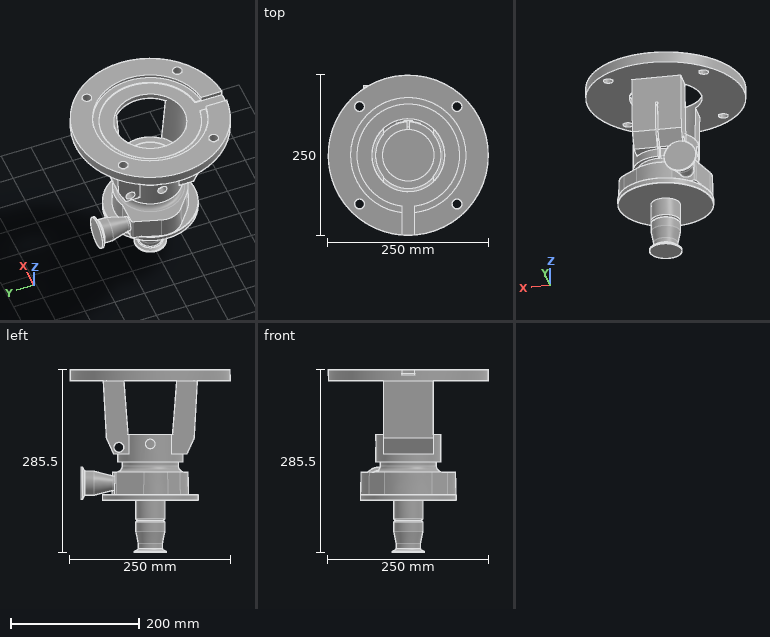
import cadquery as cq
import math

OVERLAP = 1.0

flange_radius = 125.0
flange_thickness = 17.5
seat_radius = 90.0
seat_depth = 6.0
recess_radius = 80.0
recess_depth = 8.0
drain_slot_width = 20.0
bolt_circle_radius = 107.5
bolt_hole_diameter = 15.0
bolt_count = 4
bolt_start_angle = 45.0

opening_top_radius = 57.0
opening_bottom_radius = 52.0

collar_radius = 51.0
collar_top = -101.0
collar_bottom = -144.2
plug_radius = 40.2
plug_recess = 1.0
side_hole_diameter = 15.0
side_hole_z = -115.8
split_width = 3.5
split_top = -60.0

leg_width = 78.0
leg_top_y = 73.6
leg_knee_y = 68.7
leg_knee_z = -106.7
leg_foot_y = 57.3
leg_foot_z = -131.5
clamp_hole_diameter = 15.0
clamp_hole_y = 49.0
clamp_hole_z = -121.0

neck_radius = 44.0
neck_fillet = 9.5
housing_top = -159.6
housing_bottom = -195.0
housing_radius = 59.0
lobe_radius = 34.5
lobe_offset = 39.3
housing_draft = 1.5
boss_face_y = 55.0
boss_side_angle = 17.0
boss_corner_radius = 3.0

plate_radius = 75.0
plate_bottom = -204.0
plate_chamfer = 0.6

stem_radius = 23.0
stem_groove_top = -233.0
stem_groove_bottom = -237.5
stem_groove_depth = 3.0
stem_cone_top = -252.0
stem_cone_bottom = -271.2
pipe_radius = 19.1
part_bottom = -285.5

ferrule_radius = 25.4
ferrule_rim = 2.2
ferrule_collar_length = 6.8
ferrule_bevel_length = 2.3
ferrule_neck_step = 1.0

outlet_x = -44.8
outlet_z = -177.0
outlet_end_y = 108.5
outlet_root_radius = 11.5
outlet_cone_start_y = 58.3
outlet_cone_end_y = 88.0
outlet_rim = 3.0


def cylinder(radius, z_top, z_bottom):
    """Solid cylinder about the main axis."""
    return cq.Workplane("XY", origin=(0, 0, z_bottom)).circle(radius).extrude(z_top - z_bottom)


def make_flange():
    flange = cylinder(flange_radius, 0, -flange_thickness)
    flange = flange.cut(cylinder(seat_radius, OVERLAP, -seat_depth))
    flange = flange.cut(cylinder(recess_radius, OVERLAP, -recess_depth))

    slot_start_y = -(opening_top_radius + recess_radius) / 2
    slot_length = flange_radius + OVERLAP + slot_start_y
    drain_slot = cq.Workplane("XY").box(
        drain_slot_width, slot_length, 2 * recess_depth
    ).translate((0, slot_start_y - slot_length / 2, 0))

    bolt_holes = (
        cq.Workplane("XY", origin=(0, 0, -flange_thickness - OVERLAP))
        .polarArray(bolt_circle_radius, bolt_start_angle, 360, bolt_count)
        .circle(bolt_hole_diameter / 2)
        .extrude(flange_thickness + 2 * OVERLAP)
    )
    return flange.cut(drain_slot).cut(bolt_holes)


def make_legs():
    """Two mirrored legs, still joined as one block between flange and collar."""
    leg = (
        cq.Workplane("YZ")
        .moveTo(0, -flange_thickness)
        .lineTo(leg_top_y, -flange_thickness)
        .lineTo(leg_knee_y, leg_knee_z)
        .lineTo(leg_foot_y, leg_foot_z)
        .lineTo(0, leg_foot_z)
        .close()
        .extrude(leg_width / 2, both=True)
    )
    legs = leg.union(leg.mirror("XZ"))
    return legs


def make_opening():
    """Cone through the flange and between the legs, ending at the collar top."""
    return (
        cq.Workplane("XZ")
        .moveTo(0, -recess_depth)
        .lineTo(opening_top_radius, -recess_depth)
        .lineTo(opening_bottom_radius, collar_top)
        .lineTo(0, collar_top)
        .close()
        .revolve(360, (0, 0, 0), (0, 1, 0))
    )


def cut_clamp_features(frame):
    """Cut the split, clamp bolt hole and side hole, then refill the collar bore with the plug."""
    split = cq.Workplane("XY").box(
        split_width, leg_top_y + OVERLAP, split_top - collar_bottom, centered=(True, False, False)
    ).translate((0, 0, collar_bottom))
    clamp_hole = (
        cq.Workplane("YZ")
        .center(clamp_hole_y, clamp_hole_z)
        .circle(clamp_hole_diameter / 2)
        .extrude(leg_width, both=True)
    )
    side_hole = (
        cq.Workplane("YZ")
        .center(0, side_hole_z)
        .circle(side_hole_diameter / 2)
        .extrude(-collar_radius - OVERLAP)
    )
    bore = cylinder(plug_radius, collar_top, collar_bottom)
    plug = cylinder(plug_radius, collar_top - plug_recess, collar_bottom)
    return frame.cut(split).cut(clamp_hole).cut(side_hole).cut(bore).union(plug)


def make_neck():
    """Neck that flares into the housing top with a concave fillet."""
    fillet_top = housing_top + neck_fillet
    flare_radius = neck_radius + neck_fillet
    arc_reach = neck_fillet * (1 - math.sqrt(0.5))
    return (
        cq.Workplane("XZ")
        .moveTo(0, collar_bottom)
        .lineTo(neck_radius, collar_bottom)
        .lineTo(neck_radius, fillet_top)
        .threePointArc(
            (neck_radius + arc_reach, housing_top + arc_reach), (flare_radius, housing_top)
        )
        .lineTo(flare_radius, housing_top - OVERLAP)
        .lineTo(0, housing_top - OVERLAP)
        .close()
        .revolve(360, (0, 0, 0), (0, 1, 0))
    )


def make_housing():
    """Drafted body: round centre, a tangent lobe on each side and the outlet boss at -X, +Y."""
    tangent_angle = math.acos((housing_radius - lobe_radius) / lobe_offset)
    boss_angle = math.pi - math.radians(boss_side_angle)

    def on_circle(center, radius, angle):
        return (center[0] + radius * math.cos(angle), center[1] + radius * math.sin(angle))

    def on_body(angle):
        return on_circle((0, 0), housing_radius, angle)

    def on_lobe(side, angle):
        return on_circle((side * lobe_offset, 0), lobe_radius, angle)

    left_tangent = tangent_angle - math.pi
    boss_end = on_body(math.pi - math.asin(boss_face_y / housing_radius))

    corner_y = boss_face_y - boss_corner_radius
    corner_offset = lobe_radius - boss_corner_radius
    lobe_to_corner = (corner_offset - corner_y * math.sin(boss_angle)) / math.cos(boss_angle)
    corner_center = (lobe_to_corner - lobe_offset, corner_y)
    corner_top, corner_middle, corner_side = (
        on_circle(corner_center, boss_corner_radius, angle)
        for angle in (math.pi / 2, (math.pi / 2 + boss_angle) / 2, boss_angle)
    )

    outline = (
        cq.Workplane("XY", origin=(0, 0, housing_top))
        .moveTo(*on_body(left_tangent))
        .threePointArc(on_body(-math.pi / 2), on_body(-tangent_angle))
        .lineTo(*on_lobe(1, -tangent_angle))
        .threePointArc(on_lobe(1, 0), on_lobe(1, tangent_angle))
        .lineTo(*on_body(tangent_angle))
        .threePointArc(on_body(math.pi / 2), boss_end)
        .lineTo(*corner_top)
        .threePointArc(corner_middle, corner_side)
        .lineTo(*on_lobe(-1, boss_angle))
        .threePointArc(on_lobe(-1, math.pi), on_lobe(-1, left_tangent))
        .close()
    )
    return outline.extrude(housing_bottom - housing_top, taper=-housing_draft)


def ferrule_profile(sketch, end, rim):
    """Continue a (radius, height) outline along the pipe to the ferrule face at `end`."""
    return (
        sketch.lineTo(pipe_radius, end + ferrule_collar_length)
        .lineTo(pipe_radius + ferrule_neck_step, end + rim + ferrule_bevel_length)
        .lineTo(ferrule_radius, end + rim)
        .lineTo(ferrule_radius, end)
        .lineTo(0, end)
        .close()
    )


def make_stem():
    groove_radius = stem_radius - stem_groove_depth
    groove_middle = (stem_groove_top + stem_groove_bottom) / 2
    sketch = (
        cq.Workplane("XZ")
        .moveTo(0, plate_bottom + OVERLAP)
        .lineTo(stem_radius, plate_bottom + OVERLAP)
        .lineTo(stem_radius, stem_groove_top)
        .lineTo(groove_radius, groove_middle)
        .lineTo(stem_radius, stem_groove_bottom)
        .lineTo(stem_radius, stem_cone_top)
        .lineTo(pipe_radius, stem_cone_bottom)
    )
    return ferrule_profile(sketch, part_bottom, ferrule_rim).revolve(360, (0, 0, 0), (0, 1, 0))


def make_outlet():
    """Outlet pipe turned about a vertical axis, then laid along +Y with its face outwards."""
    sketch = (
        cq.Workplane("XZ")
        .moveTo(0, outlet_end_y)
        .lineTo(outlet_root_radius, outlet_end_y)
        .lineTo(outlet_root_radius, outlet_end_y - outlet_cone_start_y)
        .lineTo(pipe_radius, outlet_end_y - outlet_cone_end_y)
    )
    pipe = ferrule_profile(sketch, 0, outlet_rim).revolve(360, (0, 0, 0), (0, 1, 0))
    pipe = pipe.rotate((0, 0, 0), (1, 0, 0), 90)
    return pipe.translate((outlet_x, outlet_end_y, outlet_z))


collar = cylinder(collar_radius, collar_top, collar_bottom)
frame = make_flange().union(make_legs()).cut(make_opening()).union(collar)
frame = cut_clamp_features(frame)
plate = cylinder(plate_radius, housing_bottom, plate_bottom).edges().chamfer(plate_chamfer)

result = (
    frame.union(make_neck())
    .union(make_housing())
    .union(plate)
    .union(make_stem())
    .union(make_outlet())
)